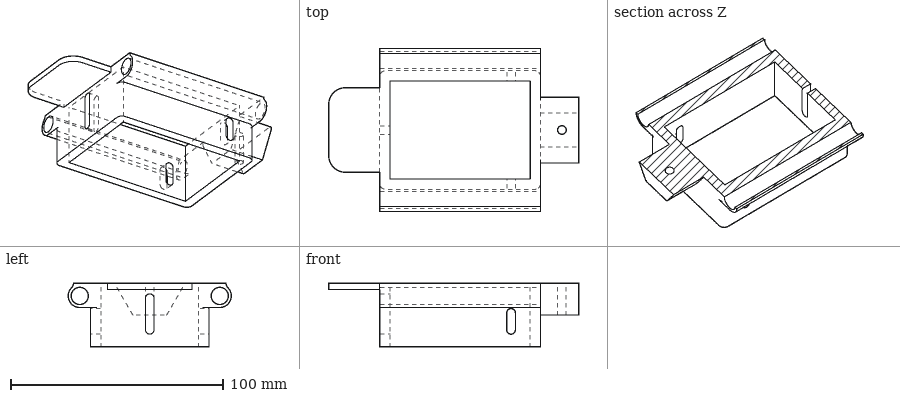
import math

import cadquery as cq

wall = 5.0
opening_length = 66.0
opening_width = 46.0
frame_height = 30.0
frame_length = opening_length + 2 * wall
frame_width = opening_width + 2 * wall
frame_corner_radius = 3.0

barrel_radius = 5.5
barrel_bore_diameter = 8.0
barrel_axis_offset = 5.0
barrel_axis_depth = 6.0
barrel_bottom_depth = barrel_axis_depth + barrel_radius
barrel_axis_y = frame_width / 2 + barrel_axis_offset
barrel_cove_radius = 3.0

tab_length = 24.0
tab_width = 40.0
tab_thickness = 3.0
tab_corner_radius = 8.0

lug_length = 18.0
lug_depth = 15.0
lug_bottom_width = 16.0
lug_flank_angle = math.radians(30)
lug_edge_radius = 1.5
lug_hole_diameter = 4.0
lug_hole_distance = 10.0

slot_width = 4.0
slot_bottom_depth = 24.0
side_slot_top_depth = 12.0
side_slot_x = 24.0
end_slot_top_depth = 5.0


def box_below_top(length, width, height):
    """Box centred on X and Y whose top face lies at Z = 0."""
    return cq.Workplane("XY").box(length, width, height).translate((0, 0, -height / 2))


def make_frame():
    """Outer block of the frame, rounded at its corners below the barrels."""
    rounded = box_below_top(frame_length, frame_width, frame_height).edges("|Z").fillet(frame_corner_radius)
    return rounded.union(box_below_top(frame_length, frame_width, barrel_bottom_depth))


def make_barrel(side):
    """Hinge barrel with its web, on the +Y side (side = 1) or the -Y side (side = -1)."""
    centre_distance = barrel_radius + barrel_cove_radius
    blend_angle = math.asin(barrel_axis_depth / centre_distance)
    cove_centre_y = barrel_axis_y + centre_distance * math.cos(blend_angle)
    cove_mid_y = cove_centre_y - barrel_cove_radius * math.cos(blend_angle / 2)
    cove_mid_z = -barrel_cove_radius * math.sin(blend_angle / 2)
    blend_y = barrel_axis_y + barrel_radius * math.cos(blend_angle)
    blend_z = -barrel_axis_depth + barrel_radius * math.sin(blend_angle)
    barrel_outer_y = barrel_axis_y + barrel_radius
    inner_y = opening_width / 2 + wall / 2
    profile = (
        cq.Workplane("YZ", origin=(-frame_length / 2, 0, 0))
        .moveTo(side * inner_y, 0)
        .lineTo(side * (cove_centre_y - barrel_cove_radius), 0)
        .threePointArc((side * cove_mid_y, cove_mid_z), (side * blend_y, blend_z))
        .threePointArc((side * barrel_outer_y, -barrel_axis_depth), (side * barrel_axis_y, -barrel_bottom_depth))
        .lineTo(side * inner_y, -barrel_bottom_depth)
        .close()
    )
    bore = (
        cq.Workplane("YZ", origin=(-frame_length / 2, side * barrel_axis_y, -barrel_axis_depth))
        .circle(barrel_bore_diameter / 2)
        .extrude(frame_length)
    )
    return profile.extrude(frame_length).cut(bore)


def make_tab():
    """Flat thumb tab, flush with the top, rounded at its free corners."""
    return (
        box_below_top(tab_length, tab_width, tab_thickness)
        .edges("|Z and <X")
        .fillet(tab_corner_radius)
        .translate((-(frame_length + tab_length) / 2, 0, 0))
    )


def make_lug():
    """Solid lug narrowing downward, with rounded top edges and an upright hole."""
    bottom_y = lug_bottom_width / 2
    top_y = bottom_y + lug_depth * math.tan(lug_flank_angle)
    lug = (
        cq.Workplane("YZ", origin=(frame_length / 2, 0, 0))
        .polyline([(-top_y, 0), (top_y, 0), (bottom_y, -lug_depth), (-bottom_y, -lug_depth)])
        .close()
        .extrude(lug_length)
        .edges("|X and >Z")
        .fillet(lug_edge_radius)
    )
    hole = (
        cq.Workplane("XY", origin=(frame_length / 2 + lug_hole_distance, 0, -lug_depth))
        .circle(lug_hole_diameter / 2)
        .extrude(lug_depth)
    )
    return lug.cut(hole)


def upright_slot(plane, origin, top_depth, reach):
    """Cutter for an upright round-ended slot, starting at origin and extending by reach."""
    return (
        cq.Workplane(plane, origin=origin)
        .center(0, -(top_depth + slot_bottom_depth) / 2)
        .slot2D(slot_bottom_depth - top_depth, slot_width, 90)
        .extrude(reach)
    )


body = make_frame()
for barrel_side in (1, -1):
    body = body.union(make_barrel(barrel_side))
body = body.union(make_tab()).union(make_lug())

opening = box_below_top(opening_length, opening_width, frame_height)
side_slots = upright_slot("XZ", (side_slot_x, frame_width / 2, 0), side_slot_top_depth, frame_width)
end_slot = upright_slot("YZ", (-frame_length / 2, 0, 0), end_slot_top_depth, wall)

result = body.cut(opening).cut(side_slots).cut(end_slot)